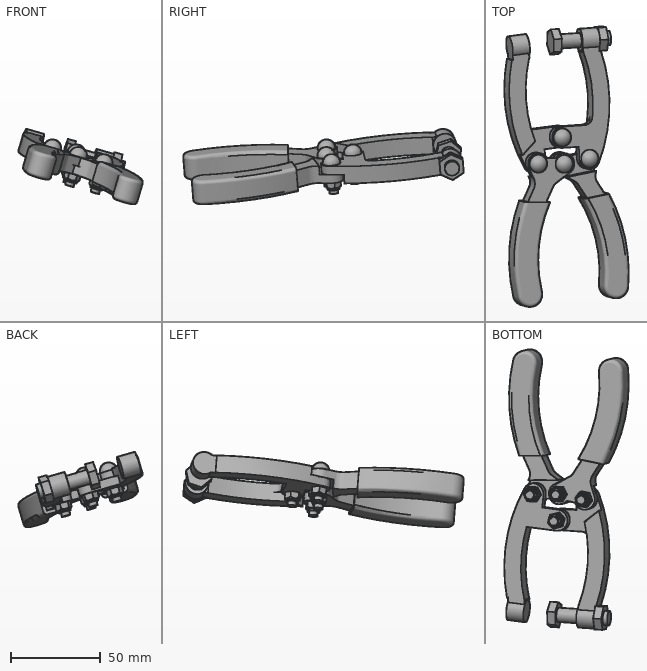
import cadquery as cq
import math


JAW_LINK = 20.0
HANDLE_LINK = 15.0
JAW_LINK_ANGLE = -40
JAW_OPENING = 3.5

THICKNESS = 10.0
HALF = THICKNESS / 2
EYE_RADIUS = 6.0

BOW_CENTRE = (-61.5, 20.8)
BOW_WIDTH = 9.7
BOW_TOP = 46.6
LAP_STEP = 10.0
CORNER_RADIUS = 5.0
BOSS_RADIUS = 6.4
BOSS_START = 13.8
BOSS_LENGTH = 10.0
BOSS_HEIGHT = 53.2
SKIRT_SETBACK = 0.5

GRIP_BOW_CENTRE = (-64.5, -51.3)
GRIP_BOW_RADIUS = 85.0
SHANK_WIDTH = 10.0
NECK_TOP = 3.1
SHOULDER_ANGLE = -27
SHOULDER_START = (17.0, -8.9)
SHOULDER_MIDDLE = (16.6, -11.1)
SHOULDER_END = (16.9, -13.3)
CROTCH_START = (6.0, -12.8)
CROTCH_MIDDLE = (5.3, -11.7)
CROTCH_END = (4.4, -10.8)
CROTCH_ANGLE = -125
HANDLE_STEP = -7.7
GRIP_START = -21.5
GRIP_END = -73.1
GRIP_WALL = 2.0

HEAD_RADIUS = 5.0
RIVET_RADIUS = 2.5
TAIL_FLATS = 8.0
TAIL_HEIGHT = 4.0
TAIL_CHAMFER = 1.0
COLLAR_RADIUS = 3.5
COLLAR_HEIGHT = 1.0
RIVET_STUB = 2.3

BOLT_RADIUS = 4.0
BOLT_FLATS = 13.0
BOLT_HEAD_HEIGHT = 4.7
BOLT_HEAD_START = -3.1
BOLT_NUT_HEIGHT = 4.7
BOLT_STUB = 2.5
BOLT_HEAD_TURN = 14
BOLT_NUT_TURN = 30

RIVET_DIRECTION = (0.295, -0.08, 1)
ACROSS_DIRECTION = (1, 0.068, -0.29)


def polar(centre, radius, degrees):
    angle = math.radians(degrees)
    return (centre[0] + radius * math.cos(angle), centre[1] + radius * math.sin(angle))


def on_bow(centre, radius, height):
    """Point at the given height on the right side of a circle."""
    return (centre[0] + math.sqrt(radius**2 - (height - centre[1]) ** 2), height)


def direction(start, end):
    return math.degrees(math.atan2(end[1] - start[1], end[0] - start[0]))


def extrude_between(outline, bottom, top):
    return outline.extrude(top - bottom).translate((0, 0, bottom))


jaw_pivot = (0, 0)
right_pivot = polar(jaw_pivot, JAW_LINK, JAW_LINK_ANGLE)
left_pivot = polar(jaw_pivot, JAW_LINK, 180 - JAW_LINK_ANGLE + JAW_OPENING)
half_span = math.dist(left_pivot, right_pivot) / 2
handle_pivot = polar(
    left_pivot,
    HANDLE_LINK,
    direction(left_pivot, right_pivot) - math.degrees(math.acos(half_span / HANDLE_LINK)),
)

bolt_nut_start = BOSS_START + BOSS_LENGTH

bow_outer = math.dist(BOW_CENTRE, right_pivot) + EYE_RADIUS
bow_inner = bow_outer - BOW_WIDTH


def drill_rivet_holes(plate, points):
    return plate.cut(
        cq.Workplane("XY", origin=(0, 0, -HALF)).pushPoints(points).circle(RIVET_RADIUS).extrude(THICKNESS)
    )


def jaw_bow():
    """Full-thickness arm between the lap step and the boss."""
    bow_bottom = right_pivot[1]
    middle = (BOW_TOP + bow_bottom) / 2
    outline = (
        cq.Workplane("XY")
        .moveTo(*on_bow(BOW_CENTRE, bow_inner, BOW_TOP))
        .threePointArc(
            on_bow(BOW_CENTRE, bow_inner, middle), on_bow(BOW_CENTRE, bow_inner, bow_bottom)
        )
        .lineTo(*on_bow(BOW_CENTRE, bow_outer, bow_bottom))
        .threePointArc(
            on_bow(BOW_CENTRE, bow_outer, middle), on_bow(BOW_CENTRE, bow_outer, BOW_TOP)
        )
        .close()
    )
    arm = extrude_between(outline, -HALF, HALF)
    lap_zone = (
        cq.Workplane("XY")
        .rect(6 * JAW_LINK, 2 * LAP_STEP)
        .extrude(2 * THICKNESS, both=True)
        .rotate((0, 0, 0), (0, 0, 1), JAW_LINK_ANGLE)
    )
    return arm.cut(lap_zone)


def jaw_lap(bottom, top):
    """Half-thickness plate that carries both eyes."""
    arm_edge = right_pivot[0] - EYE_RADIUS
    bow_tangent = polar(BOW_CENTRE, bow_outer, direction(BOW_CENTRE, right_pivot))
    outline = (
        cq.Workplane("XY")
        .moveTo(0, EYE_RADIUS)
        .threePointArc((-EYE_RADIUS, 0), (0, -EYE_RADIUS))
        .lineTo(arm_edge, -EYE_RADIUS)
        .lineTo(arm_edge, right_pivot[1])
        .threePointArc(polar(right_pivot, EYE_RADIUS, -90), bow_tangent)
        .threePointArc(
            on_bow(BOW_CENTRE, bow_outer, (bow_tangent[1] + EYE_RADIUS) / 2),
            on_bow(BOW_CENTRE, bow_outer, EYE_RADIUS),
        )
        .close()
    )
    return extrude_between(outline, bottom, top)


def corner_web(bottom, top):
    """Concave rounding between the lap and the inner side of the bow."""
    wall = on_bow(BOW_CENTRE, bow_inner, EYE_RADIUS + CORNER_RADIUS)
    start = (wall[0] - CORNER_RADIUS, EYE_RADIUS)
    rounding = polar((start[0], wall[1]), CORNER_RADIUS, -45)
    outline = (
        cq.Workplane("XY")
        .moveTo(*start)
        .threePointArc(rounding, wall)
        .lineTo(wall[0] + BOW_WIDTH / 2, wall[1])
        .lineTo(wall[0] + BOW_WIDTH / 2, EYE_RADIUS)
        .close()
    )
    return extrude_between(outline, bottom, top)


def across_boss(start):
    """Plane across the boss axis, its local X pointing to the jaw tip."""
    return cq.Plane(origin=(start, BOSS_HEIGHT, 0), xDir=(0, 1, 0), normal=(1, 0, 0))


def boss_skirt():
    """Block that joins the boss to the top of the bow."""
    start = BOSS_START + SKIRT_SETBACK
    return cq.Workplane("XY", origin=(start, BOW_TOP, 0)).box(
        BOSS_LENGTH - SKIRT_SETBACK, BOSS_HEIGHT - BOW_TOP, THICKNESS, centered=(False, False, True)
    )


def jaw(bottom, top):
    """Right-hand jaw with its lap between two levels."""
    boss = cq.Workplane(across_boss(BOSS_START)).circle(BOSS_RADIUS).extrude(BOSS_LENGTH)
    body = jaw_lap(bottom, top).union(jaw_bow()).union(boss_skirt()).union(boss)
    return drill_rivet_holes(body, [jaw_pivot, right_pivot])


def make_right_jaw():
    bolt_hole = cq.Workplane(across_boss(BOSS_START)).circle(BOLT_RADIUS).extrude(BOSS_LENGTH)
    return jaw(0, HALF).union(corner_web(0, HALF)).cut(bolt_hole)


def make_left_jaw():
    return jaw(-HALF, 0).mirror("YZ").rotate((0, 0, 0), (0, 0, 1), JAW_OPENING)


def arched_bar(width, thickness):
    """Bar along the grip's bow, with a rounded lower end."""
    inner = GRIP_BOW_RADIUS - width / 2
    outer = GRIP_BOW_RADIUS + width / 2
    end_centre = on_bow(GRIP_BOW_CENTRE, GRIP_BOW_RADIUS, GRIP_END)
    end_angle = direction(GRIP_BOW_CENTRE, end_centre)
    middle_height = (GRIP_START + GRIP_END) / 2
    outline = (
        cq.Workplane("XY")
        .moveTo(*on_bow(GRIP_BOW_CENTRE, inner, GRIP_START))
        .threePointArc(
            on_bow(GRIP_BOW_CENTRE, inner, middle_height), polar(GRIP_BOW_CENTRE, inner, end_angle)
        )
        .threePointArc(
            polar(end_centre, width / 2, end_angle - 90), polar(GRIP_BOW_CENTRE, outer, end_angle)
        )
        .threePointArc(
            on_bow(GRIP_BOW_CENTRE, outer, middle_height), on_bow(GRIP_BOW_CENTRE, outer, GRIP_START)
        )
        .close()
    )
    return extrude_between(outline, -thickness / 2, thickness / 2)


def grip():
    block = arched_bar(SHANK_WIDTH + 2 * GRIP_WALL, THICKNESS + 2 * GRIP_WALL)
    return block.faces("<Z or >Z").edges("not >Y").fillet(GRIP_WALL)


def handle(bottom, top):
    """Right-hand handle about its own pivot, with its link along X."""
    far_eye = (HANDLE_LINK, 0)
    neck_reach = math.sqrt(EYE_RADIUS**2 - NECK_TOP**2)
    shank_inner = on_bow(GRIP_BOW_CENTRE, GRIP_BOW_RADIUS - SHANK_WIDTH / 2, GRIP_START)
    shank_outer = on_bow(GRIP_BOW_CENTRE, GRIP_BOW_RADIUS + SHANK_WIDTH / 2, GRIP_START)
    outline = (
        cq.Workplane("XY")
        .moveTo(neck_reach, NECK_TOP)
        .lineTo(HANDLE_LINK - neck_reach, NECK_TOP)
        .threePointArc(polar(far_eye, EYE_RADIUS, 0), polar(far_eye, EYE_RADIUS, SHOULDER_ANGLE))
        .lineTo(*SHOULDER_START)
        .threePointArc(SHOULDER_MIDDLE, SHOULDER_END)
        .lineTo(*shank_outer)
        .lineTo(*shank_inner)
        .lineTo(*CROTCH_START)
        .threePointArc(CROTCH_MIDDLE, CROTCH_END)
        .lineTo(*polar((0, 0), EYE_RADIUS, CROTCH_ANGLE))
        .threePointArc((-EYE_RADIUS, 0), (neck_reach, NECK_TOP))
        .close()
    )
    plate = extrude_between(outline, -HALF, HALF)
    lap_clearance = (
        cq.Workplane("XY")
        .rect(4 * HANDLE_LINK, -2 * HANDLE_STEP)
        .extrude(THICKNESS)
        .translate((0, 0, 0 if bottom < 0 else -THICKNESS))
    )
    return drill_rivet_holes(plate.cut(lap_clearance).union(grip()), [(0, 0), far_eye])


def make_right_handle():
    turn = direction(handle_pivot, right_pivot)
    return handle(-HALF, 0).rotate((0, 0, 0), (0, 0, 1), turn).translate(handle_pivot)


def make_left_handle():
    turn = direction(left_pivot, handle_pivot)
    return handle(0, HALF).mirror("YZ").rotate((0, 0, 0), (0, 0, 1), turn).translate(handle_pivot)


def rivet_tail(turn):
    """Hexagon with chamfered corners and a round collar, hanging below the plates."""
    corner_radius = TAIL_FLATS / math.cos(math.pi / 6) / 2
    chamfered = cq.Workplane("XY").circle(corner_radius).extrude(TAIL_HEIGHT)
    chamfered = chamfered.faces("<Z").chamfer(TAIL_CHAMFER)
    hexagon = cq.Workplane("XY").polygon(6, 2 * corner_radius).extrude(TAIL_HEIGHT)
    collar = cq.Workplane("XY").circle(COLLAR_RADIUS).extrude(-COLLAR_HEIGHT)
    tail = hexagon.intersect(chamfered).union(collar)
    return tail.rotate((0, 0, 0), (0, 0, 1), turn).translate((0, 0, -HALF - TAIL_HEIGHT))


def make_rivet(pivot, turn):
    dome = cq.Workplane("XY", origin=(0, 0, HALF)).sphere(HEAD_RADIUS)
    above_plates = cq.Workplane("XY", origin=(0, 0, HALF)).circle(HEAD_RADIUS).extrude(HEAD_RADIUS)
    length = THICKNESS + TAIL_HEIGHT + COLLAR_HEIGHT + RIVET_STUB
    shank = cq.Workplane("XY", origin=(0, 0, HALF)).circle(RIVET_RADIUS).extrude(-length)
    return dome.intersect(above_plates).union(shank).union(rivet_tail(turn)).translate(pivot)


def bolt_hex(start, height, turn):
    flats = cq.Workplane(across_boss(start)).transformed(rotate=(0, 0, turn))
    return flats.polygon(6, BOLT_FLATS / math.cos(math.pi / 6)).extrude(height)


def make_bolt():
    length = bolt_nut_start + BOLT_NUT_HEIGHT + BOLT_STUB - BOLT_HEAD_START
    shank = cq.Workplane(across_boss(BOLT_HEAD_START)).circle(BOLT_RADIUS).extrude(length)
    return bolt_hex(BOLT_HEAD_START, BOLT_HEAD_HEIGHT, BOLT_HEAD_TURN).union(shank)


def make_bolt_nut():
    hole = cq.Workplane(across_boss(bolt_nut_start)).circle(BOLT_RADIUS).extrude(BOLT_NUT_HEIGHT)
    return bolt_hex(bolt_nut_start, BOLT_NUT_HEIGHT, BOLT_NUT_TURN).cut(hole)


rivet_turns = [(jaw_pivot, 43), (left_pivot, 0), (handle_pivot, 0), (right_pivot, 7)]

left_jaw = make_left_jaw()
right_jaw = make_right_jaw()
left_handle = make_left_handle()
right_handle = make_right_handle()
rivets = [make_rivet(pivot, turn) for pivot, turn in rivet_turns]
bolt = make_bolt()
bolt_nut = make_bolt_nut()

bodies = [left_jaw, right_jaw, left_handle, right_handle, *rivets, bolt, bolt_nut]
tilt = cq.Location(cq.Plane(origin=(0, 0, 0), xDir=ACROSS_DIRECTION, normal=RIVET_DIRECTION))
result = cq.Compound.makeCompound([body.val().moved(tilt) for body in bodies])